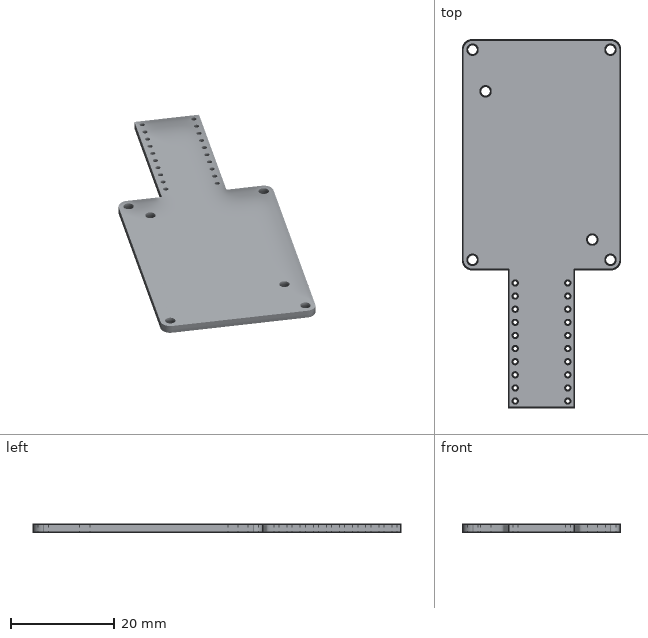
import cadquery as cq

total_length = 71.1
thickness = 1.6

board_width = 30.5
board_length = 44.45
corner_radius = 1.9

tab_width = 12.7
tab_length = total_length - board_length

mount_diameter = 2.0
upper_hole_x = -10.8
upper_hole_from_top = 9.95
lower_hole_x = 9.8
lower_hole_from_shoulder = 5.8

pin_diameter = 1.0
pins_per_row = 10
pin_row_length = 22.8
pin_row_spacing = 10.2
pin_end_inset = 1.3

top_y = total_length / 2
end_y = -total_length / 2
shoulder_y = top_y - board_length
board_center_y = (top_y + shoulder_y) / 2


def make_plate():
    """Rounded board joined to its square-cornered tab."""
    board = (
        cq.Workplane("XY")
        .center(0, board_center_y)
        .rect(board_width, board_length)
        .extrude(thickness)
        .edges("|Z")
        .fillet(corner_radius)
    )
    tab_total_length = tab_length + board_length / 2
    tab = (
        cq.Workplane("XY")
        .center(0, end_y + tab_total_length / 2)
        .rect(tab_width, tab_total_length)
        .extrude(thickness)
    )
    return board.union(tab).clean()


def through_holes(points, diameter):
    """Cylinders that cut through the full thickness at the given points."""
    return cq.Workplane("XY").pushPoints(points).circle(diameter / 2).extrude(thickness)


corner_x = board_width / 2 - corner_radius
mount_points = [
    (x, y)
    for x in (-corner_x, corner_x)
    for y in (shoulder_y + corner_radius, top_y - corner_radius)
]
mount_points.append((upper_hole_x, top_y - upper_hole_from_top))
mount_points.append((lower_hole_x, shoulder_y + lower_hole_from_shoulder))

pin_pitch = pin_row_length / (pins_per_row - 1)
pin_points = [
    (x, end_y + pin_end_inset + i * pin_pitch)
    for x in (-pin_row_spacing / 2, pin_row_spacing / 2)
    for i in range(pins_per_row)
]

result = (
    make_plate()
    .cut(through_holes(mount_points, mount_diameter))
    .cut(through_holes(pin_points, pin_diameter))
)